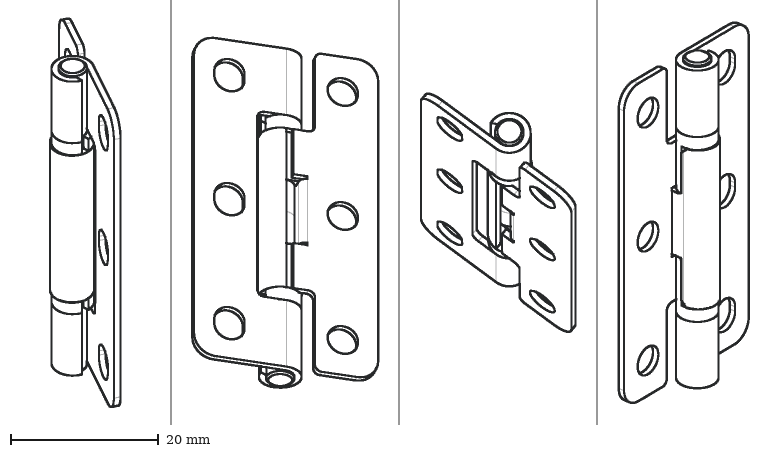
import cadquery as cq
import math


hinge_width = 26.0
pin_length = 51.0
pin_radius = 1.95
pin_chamfer = 0.3
pin_projection = 0.5
sheet = 0.95
corner_radius = 3.0
slot_edge_x = 4.1
slot_fillet = 1.0
free_corner_radius = 0.9

middle_length = 25.0
washer_length = 2.05
middle_radius = 3.0

hole_x = 8.0
hole_pitch = 19.5
hole_diameter = 4.3
slot_height = 5.0

plate_end_x = -1.0
web_length = 10.0
notch_edge_y = 0.3
notch_fillet = 0.45
knuckle_chamfer = 0.9
relief_width = 0.4

gap_angle = 31.0
gap_width = 1.05

half_width = hinge_width / 2
leaf_length = pin_length - 2 * pin_projection
half_leaf = leaf_length / 2
half_middle = middle_length / 2
half_slot = half_middle + washer_length
half_web = web_length / 2
outer_radius = pin_radius + sheet
plate_back_y = outer_radius
plate_front_y = pin_radius
middle_axis_y = plate_back_y - middle_radius
middle_bore = middle_radius - sheet
top_angle = 90
web_angle = 180
tip_angle = 360 + top_angle
hole_levels = [-hole_pitch, 0, hole_pitch]


def polar(radius, degrees, center_y=0.0):
    """Point on a circle about (0, center_y)."""
    angle = math.radians(degrees)
    return (radius * math.cos(angle), center_y + radius * math.sin(angle))


def prism(profile, bottom, top):
    """Extrude an XY profile between two heights."""
    return profile.extrude(top - bottom).translate((0, 0, bottom))


def block(x_range, y_range, z_range):
    """Box given by its limits along X, Y and Z."""
    lows, highs = zip(x_range, y_range, z_range)
    size = [high - low for low, high in zip(lows, highs)]
    return cq.Workplane("XY").box(*size, centered=False).translate(lows)


def curl(outer, inner, center_y, start, outer_end, inner_end):
    """Open ring profile that runs counter-clockwise from the start angle."""
    return (
        cq.Workplane("XY")
        .moveTo(*polar(outer, start, center_y))
        .threePointArc(polar(outer, (start + outer_end) / 2, center_y), polar(outer, outer_end, center_y))
        .lineTo(*polar(inner, inner_end, center_y))
        .threePointArc(polar(inner, (start + inner_end) / 2, center_y), polar(inner, start, center_y))
        .close()
    )


def plate(left, right):
    """Flat leaf blank over the full leaf length."""
    return block((left, right), (plate_front_y, plate_back_y), (-half_leaf, half_leaf))


def hole_tool(profile_at):
    """Cutters along Y at the three hole levels."""
    tools = cq.Workplane("XY")
    for level in hole_levels:
        tools = tools.add(profile_at(cq.Workplane("XZ", origin=(0, plate_back_y, level))).extrude(sheet))
    return tools.combine()


def make_right_leaf():
    leaf = plate(0, half_width).edges("|Y and >X").fillet(corner_radius)
    window = block((-half_width, slot_edge_x), (plate_front_y, plate_back_y), (-half_slot, half_slot))
    leaf = leaf.cut(window.edges("|Y and >X").fillet(slot_fillet))
    leaf = leaf.cut(hole_tool(lambda plane: plane.center(hole_x, 0).slot2D(slot_height, hole_diameter, 90)))

    full_turn = 360 + gap_angle
    outer_end = full_turn - math.degrees(math.asin(gap_width / outer_radius))
    inner_end = full_turn - math.degrees(math.asin(gap_width / pin_radius))
    for bottom, top in [(-half_leaf, -half_slot), (half_slot, half_leaf)]:
        profile = curl(outer_radius, pin_radius, 0, top_angle, outer_end, inner_end)
        leaf = leaf.union(prism(profile, bottom, top))
    return leaf


def make_left_leaf():
    leaf = plate(-half_width, plate_end_x)
    for side in (-1, 1):
        z_range = sorted((side * half_middle, side * half_leaf))
        opening = block((-slot_edge_x, 0), (plate_front_y, plate_back_y), z_range)
        inner_edge = "<Z" if side > 0 else ">Z"
        leaf = leaf.cut(opening.edges("|Y and <X").edges(inner_edge).fillet(slot_fillet))
    leaf = leaf.edges("|Y").edges("<Z or >Z").edges("<X").fillet(corner_radius)
    leaf = leaf.edges("|Y").edges("<Z or >Z").edges(">X").fillet(free_corner_radius)
    leaf = leaf.cut(hole_tool(lambda plane: plane.center(-hole_x, 0).circle(hole_diameter / 2)))

    relief_top = half_web + relief_width
    leaf = leaf.cut(block((-middle_radius, 0), (plate_front_y, plate_back_y), (-relief_top, relief_top)))
    bend_middle = sheet * math.sqrt(0.5)
    web = (
        cq.Workplane("XY")
        .moveTo(-middle_radius, middle_axis_y)
        .lineTo(-middle_radius, plate_back_y)
        .threePointArc(
            (-middle_radius + bend_middle, plate_front_y + bend_middle), (-middle_bore, plate_front_y)
        )
        .lineTo(-middle_bore, middle_axis_y)
        .close()
    )
    leaf = leaf.union(prism(web, -half_web, half_web))
    return leaf.union(make_middle_knuckle())


def make_middle_knuckle():
    """Curl with a straight flank up to the notch edge; its corners at the notches are chamfered."""
    profile = curl(middle_radius, middle_bore, middle_axis_y, web_angle, tip_angle, tip_angle)
    knuckle = prism(profile, -half_middle, half_middle)
    flank = block((-middle_radius, -middle_bore), (middle_axis_y, notch_edge_y), (-half_middle, half_middle))
    knuckle = knuckle.union(flank)
    gusset_length = web_length + 2 * notch_fillet
    gusset = block(
        (-middle_radius, -middle_bore),
        (notch_edge_y, notch_edge_y + notch_fillet),
        (-gusset_length / 2, gusset_length / 2),
    )
    for side in (-1, 1):
        round_cutter = (
            cq.Workplane("YZ", origin=(-middle_radius, 0, 0))
            .center(notch_edge_y + notch_fillet, side * (half_web + notch_fillet))
            .circle(notch_fillet)
            .extrude(sheet)
        )
        gusset = gusset.cut(round_cutter)
        knuckle = knuckle.cut(make_corner_cutter(side))
    return knuckle.union(gusset)


def make_corner_cutter(side):
    """Wedge that chamfers the knuckle corner at the open end of one notch."""
    outer_z = side * half_middle
    return (
        cq.Workplane("YZ", origin=(-middle_radius, 0, 0))
        .moveTo(notch_edge_y, outer_z)
        .lineTo(notch_edge_y - knuckle_chamfer, outer_z)
        .lineTo(notch_edge_y, outer_z - side * knuckle_chamfer)
        .close()
        .extrude(middle_radius)
    )


def tube(bottom, top):
    """Ring around the pin, flush with the outer knuckles."""
    return prism(cq.Workplane("XY").circle(outer_radius).circle(pin_radius), bottom, top)


def make_bushing(side):
    washer = tube(half_middle, half_slot)
    split = block((0, 2 * outer_radius), (-gap_width, 0), (half_middle, half_slot))
    washer = washer.cut(split.rotate((0, 0, 0), (0, 0, 1), gap_angle))

    key_space = block((-outer_radius, 0), (notch_edge_y, plate_front_y), (half_web, half_middle))
    key_space = key_space.edges("|X and <Y and <Z").fillet(notch_fillet)
    key = tube(half_web, half_middle).intersect(key_space)
    bushing = washer.union(key)
    return bushing if side > 0 else bushing.mirror("XY")


def make_pin():
    pin = cq.Workplane("XY").circle(pin_radius).extrude(pin_length / 2, both=True)
    return pin.faces("|Z").chamfer(pin_chamfer)


right_leaf = make_right_leaf()
left_leaf = make_left_leaf()
pin = make_pin()
bushings = [make_bushing(side) for side in (-1, 1)]

result = cq.Compound.makeCompound(
    [body.solids().val() for body in (right_leaf, left_leaf, pin, *bushings)]
)